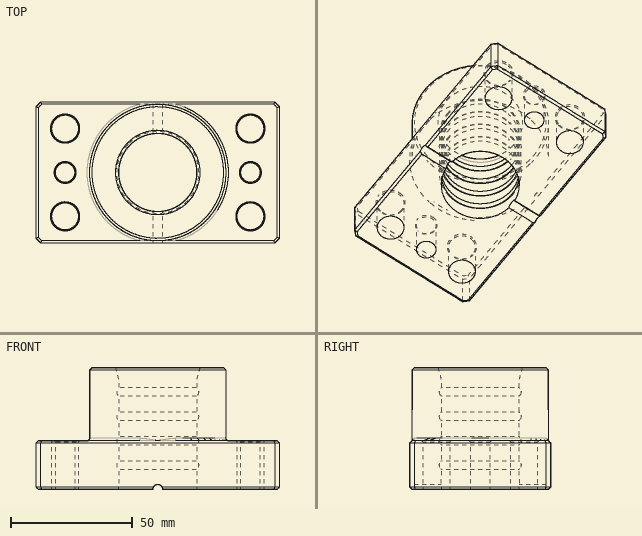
import cadquery as cq
import math

PLATE_LENGTH = 100.0
PLATE_WIDTH = 58.0
PLATE_THICKNESS = 20.0
CORNER_CHAMFER = 2.0
EDGE_CHAMFER = 1.0
TOP_FACE_WIDTH = PLATE_WIDTH - 2 * EDGE_CHAMFER

TOTAL_HEIGHT = 50.0
BOSS_DIAMETER = 56.0
BOSS_RIM_CHAMFER = 1.0
BOSS_ROOT_RADIUS = 1.0
ROOT_CENTER_RADIUS = BOSS_DIAMETER / 2 + BOSS_ROOT_RADIUS
ROOT_OVERLAP = 0.5
FADE_STEPS = 8

BORE_DIAMETER = 32.0
MOUTH_HALF_ANGLE = 15.0
MOUTH_DEPTH = 5.0
MOUTH_DIAMETER = BORE_DIAMETER + 2 * MOUTH_DEPTH * math.tan(math.radians(MOUTH_HALF_ANGLE))
GROOVE_RADIUS = 2.25
GROOVE_WIDTH = 3.5
GROOVE_PITCH = 10.0
GROOVE_COUNT = 4
LOWEST_GROOVE_HEIGHT = 10.0

HOLE_ROW_X = 38.0
SCREW_HOLE_Y = 18.0
SCREW_HOLE_DIAMETER = 11.0
MIDDLE_HOLE_DIAMETER = 8.0
HOLE_CHAMFER = 0.5

NOTCH_RADIUS = 2.0


def make_plate():
    plate = cq.Workplane("XY").box(
        PLATE_LENGTH, PLATE_WIDTH, PLATE_THICKNESS, centered=(True, True, False)
    )
    plate = plate.edges("|Z").chamfer(CORNER_CHAMFER)
    return plate.faces("<Z or >Z").edges().chamfer(EDGE_CHAMFER)


def make_boss():
    boss = cq.Workplane("XY").circle(BOSS_DIAMETER / 2).extrude(TOTAL_HEIGHT)
    return boss.faces(">Z").chamfer(BOSS_RIM_CHAMFER)


def root_section(angle):
    """Cross-section of the root fillet in the vertical plane at an angle round the boss.

    The angle is measured from the point where the boss touches the plate's front long edge.
    Where the top face is too narrow for the full radius, the arc ends on the long edge.
    """
    reach = min(ROOT_CENTER_RADIUS, TOP_FACE_WIDTH / 2 / math.cos(angle))
    gap = ROOT_CENTER_RADIUS - reach
    rise = math.sqrt(BOSS_ROOT_RADIUS**2 - gap**2)
    shoulder = PLATE_THICKNESS + rise
    half_sweep = math.acos(gap / BOSS_ROOT_RADIUS) / 2
    arc_middle = (
        ROOT_CENTER_RADIUS - BOSS_ROOT_RADIUS * math.cos(half_sweep),
        shoulder - BOSS_ROOT_RADIUS * math.sin(half_sweep),
    )
    inner = BOSS_DIAMETER / 2 - ROOT_OVERLAP
    bottom = PLATE_THICKNESS - ROOT_OVERLAP
    outward = (math.sin(angle), -math.cos(angle), 0)
    normal = (-math.cos(angle), -math.sin(angle), 0)
    plane = cq.Plane((0, 0, 0), outward, normal)
    return (
        cq.Workplane(plane)
        .moveTo(inner, bottom)
        .lineTo(reach, bottom)
        .lineTo(reach, PLATE_THICKNESS)
        .threePointArc(arc_middle, (BOSS_DIAMETER / 2, shoulder))
        .lineTo(inner, shoulder)
        .close()
    )


def make_root_fillet():
    """Fillet at the foot of the boss, fading out where the boss touches the plate's long edges."""
    fade_angle = math.acos(TOP_FACE_WIDTH / 2 / ROOT_CENTER_RADIUS)
    full_sweep = 180 - 2 * math.degrees(fade_angle)
    side = root_section(fade_angle).revolve(full_sweep, (0, 0, 0), (0, 1, 0))

    sections = [root_section(fade_angle * step / FADE_STEPS).val() for step in range(1, FADE_STEPS + 1)]
    fade = cq.Workplane(cq.Solid.makeLoft(sections))
    fade_pair = fade.union(fade.mirror("XZ"))
    half = side.union(fade_pair)
    return half.union(half.mirror("YZ"))


def make_bore():
    bore_radius = BORE_DIAMETER / 2
    half_width = GROOVE_WIDTH / 2
    groove_depth = GROOVE_RADIUS - math.sqrt(GROOVE_RADIUS**2 - half_width**2)
    profile = cq.Workplane("XZ").lineTo(bore_radius, 0)
    for index in range(GROOVE_COUNT):
        height = LOWEST_GROOVE_HEIGHT + index * GROOVE_PITCH
        profile = profile.lineTo(bore_radius, height - half_width)
        profile = profile.threePointArc(
            (bore_radius + groove_depth, height), (bore_radius, height + half_width)
        )
    profile = (
        profile.lineTo(bore_radius, TOTAL_HEIGHT - MOUTH_DEPTH)
        .lineTo(MOUTH_DIAMETER / 2, TOTAL_HEIGHT)
        .lineTo(0, TOTAL_HEIGHT)
        .close()
    )
    return profile.revolve(360, (0, 0, 0), (0, 1, 0))


def make_hole(x, y, diameter):
    """Through hole with its upper rim chamfered."""
    radius = diameter / 2
    rim_radius = radius + HOLE_CHAMFER
    rim_start = PLATE_THICKNESS - HOLE_CHAMFER
    hole = (
        cq.Workplane("XZ")
        .polyline([
            (0, 0),
            (radius, 0),
            (radius, rim_start),
            (rim_radius, PLATE_THICKNESS),
            (0, PLATE_THICKNESS),
        ])
        .close()
        .revolve(360, (0, 0, 0), (0, 1, 0))
    )
    return hole.translate((x, y, 0))


def make_notch():
    return cq.Workplane("XZ").circle(NOTCH_RADIUS).extrude(PLATE_WIDTH / 2, both=True)


result = make_plate().union(make_boss()).union(make_root_fillet())
result = result.cut(make_bore()).cut(make_notch())
for row_x in (-HOLE_ROW_X, HOLE_ROW_X):
    result = result.cut(make_hole(row_x, 0, MIDDLE_HOLE_DIAMETER))
    for hole_y in (-SCREW_HOLE_Y, SCREW_HOLE_Y):
        result = result.cut(make_hole(row_x, hole_y, SCREW_HOLE_DIAMETER))